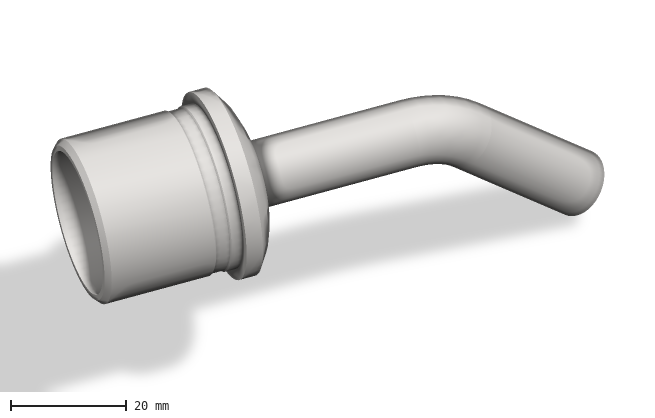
import cadquery as cq
import math

flange_radius = 16.8
flange_thickness = 3.0
body_radius = 14.8
body_length = 25.0
mouth_chamfer = 1.0
bore_radius = 12.9
bore_depth = body_length

groove_depth = 0.3
groove_width = 3.0
groove_offset = 2.0

dome_height = 4.1

bar_radius = 6.0
bar_fillet = 1.0
bend_start = 60.7
bend_angle = 45.0
bend_radius = 15.0
tail_length = 29.3

flange_front = body_length
flange_back = flange_front + flange_thickness
dome_top = flange_back + dome_height
groove_back = flange_front - groove_offset
groove_front = groove_back - groove_width


def turned_part():
    """Solid plug with the straight length of the bar, turned about Y."""
    groove_radius = body_radius - groove_depth
    dome_run = flange_radius - bar_radius
    dome_arc_radius = (dome_run**2 + dome_height**2) / (2 * dome_height)
    half_sweep = math.asin(dome_run / dome_arc_radius) / 2
    dome_middle = (
        bar_radius + dome_arc_radius * math.sin(half_sweep),
        dome_top - dome_arc_radius * (1 - math.cos(half_sweep)),
    )

    turned = (
        cq.Workplane("XY")
        .moveTo(0, 0)
        .lineTo(body_radius - mouth_chamfer, 0)
        .lineTo(body_radius, mouth_chamfer)
        .lineTo(body_radius, groove_front)
        .lineTo(groove_radius, groove_front + groove_depth)
        .lineTo(groove_radius, groove_back - groove_depth)
        .lineTo(body_radius, groove_back)
        .lineTo(body_radius, flange_front)
        .lineTo(flange_radius, flange_front)
        .lineTo(flange_radius, flange_back)
        .threePointArc(dome_middle, (bar_radius, dome_top))
        .lineTo(bar_radius, bend_start)
        .lineTo(0, bend_start)
        .close()
        .revolve(360, (0, 0, 0), (0, 1, 0))
    )
    bar_foot = cq.selectors.NearestToPointSelector((0, dome_top, 0))
    return turned.edges(bar_foot).fillet(bar_fillet)


def bend_and_tail():
    """Bend of the bar towards -Z and the straight tail after it."""
    angle = math.radians(bend_angle)

    def bend_point(turn):
        y = bend_start + bend_radius * math.sin(turn)
        z = -bend_radius * (1 - math.cos(turn))
        return y, z

    bend_end = bend_point(angle)
    tail_end = (
        bend_end[0] + tail_length * math.cos(angle),
        bend_end[1] - tail_length * math.sin(angle),
    )
    path = (
        cq.Workplane("YZ")
        .moveTo(bend_start, 0)
        .threePointArc(bend_point(angle / 2), bend_end)
        .lineTo(*tail_end)
    )
    return cq.Workplane("XZ", origin=(0, bend_start, 0)).circle(bar_radius).sweep(path)


def bore():
    """Blind round pocket from the mouth."""
    return cq.Workplane("XZ").circle(bore_radius).extrude(-bore_depth)


result = turned_part().union(bend_and_tail()).cut(bore())